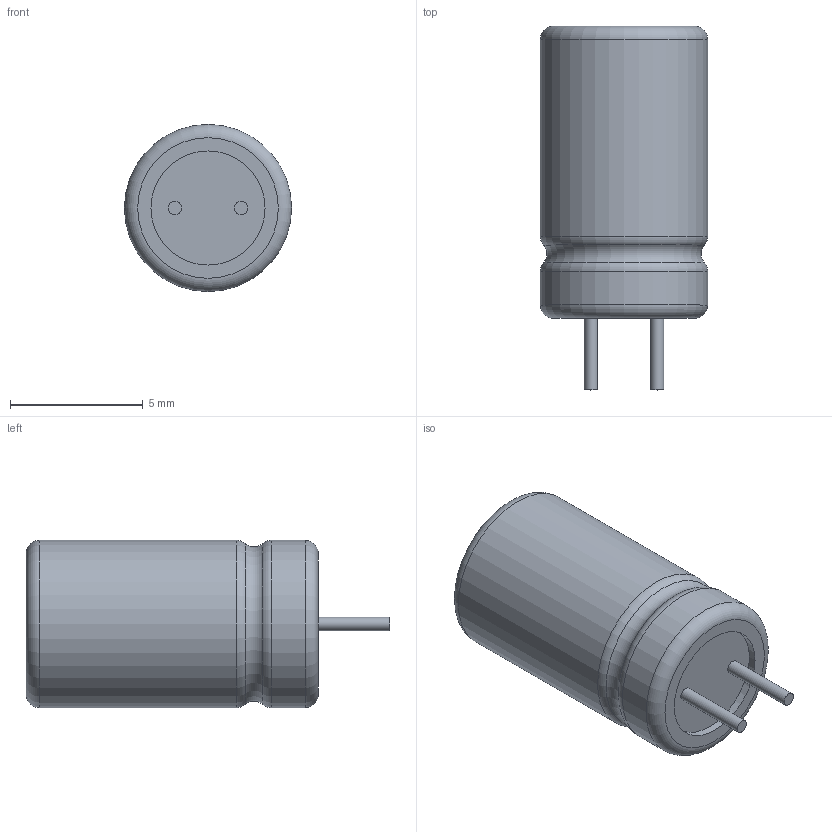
import cadquery as cq
import math

can_diameter = 6.3
can_length = 11.01
edge_radius = 0.5

groove_center = 2.43
groove_depth = 0.25
groove_arc_radius = 0.5

recess_radius = 2.15
recess_depth = 0.3

lead_diameter = 0.5
lead_pitch = 2.5
lead_protrusion = 2.7

can_radius = can_diameter / 2
groove_radius = can_radius - groove_depth
arc_drop = groove_depth / 2
groove_arc_angle = math.acos(1 - arc_drop / groove_arc_radius)
arc_length = groove_arc_radius * math.sin(groove_arc_angle)
half_arc_length = groove_arc_radius * math.sin(groove_arc_angle / 2)
half_arc_drop = groove_arc_radius * (1 - math.cos(groove_arc_angle / 2))


def shoulder_arc(profile, side, end):
    """Add a convex groove arc on one side (-1 or +1) up to the given end point."""
    middle = (can_radius - half_arc_drop, groove_center + side * (2 * arc_length - half_arc_length))
    return profile.threePointArc(middle, end)


def waist_arc(profile, side, end):
    """Add a concave groove arc on one side (-1 or +1) up to the given end point."""
    middle = (groove_radius + half_arc_drop, groove_center + side * half_arc_length)
    return profile.threePointArc(middle, end)


def make_can():
    """Revolve the grooved can about the Y axis, then round both end edges."""
    inflection_radius = can_radius - arc_drop
    profile = cq.Workplane("XY").lineTo(can_radius, 0)
    profile = profile.lineTo(can_radius, groove_center - 2 * arc_length)
    profile = shoulder_arc(profile, -1, (inflection_radius, groove_center - arc_length))
    profile = waist_arc(profile, -1, (groove_radius, groove_center))
    profile = waist_arc(profile, 1, (inflection_radius, groove_center + arc_length))
    profile = shoulder_arc(profile, 1, (can_radius, groove_center + 2 * arc_length))
    profile = profile.lineTo(can_radius, can_length).lineTo(0, can_length).close()
    can = profile.revolve(360, (0, 0, 0), (0, 1, 0))
    return can.faces("<Y or >Y").edges().fillet(edge_radius)


def rod_along_y(radius, x, y_start, y_end):
    """Cylinder parallel to Y between two stations, centered at X = x and Z = 0."""
    start = cq.Vector(x, y_start, 0)
    return cq.Workplane(cq.Solid.makeCylinder(radius, y_end - y_start, start, cq.Vector(0, 1, 0)))


result = make_can().cut(rod_along_y(recess_radius, 0, 0, recess_depth))
for side in (-1, 1):
    lead = rod_along_y(lead_diameter / 2, side * lead_pitch / 2, -lead_protrusion, recess_depth)
    result = result.union(lead)